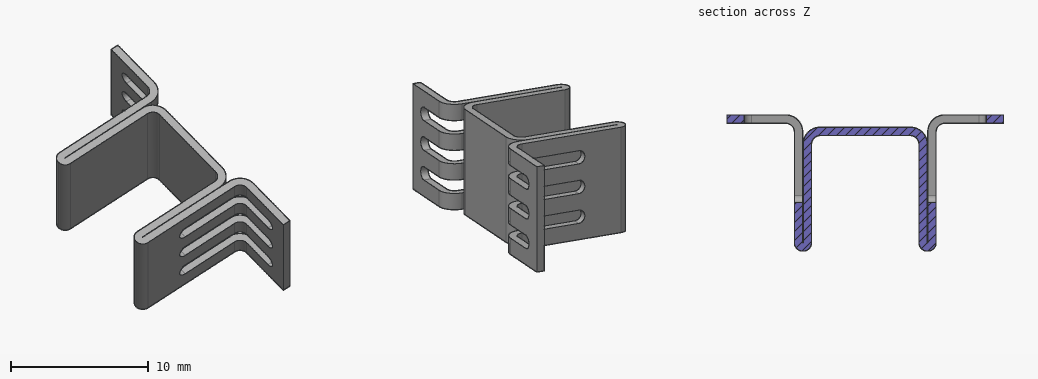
import cadquery as cq

overall_width = 20.07
overall_depth = 9.9
height = 8.13
sheet = 0.62
bend_inner = 0.62
fold_gap = 0.02
leg_spacing = 9.04
web_setback = 0.89
slot_count = 3
slot_width = 1.02
slot_pitch = 2.29
slot_edge_margin = 1.27
slot_reach = 6.35

flange_end = overall_width / 2
leg_center = leg_spacing / 2
web_leaf_face = leg_center - fold_gap / 2
flange_leaf_face = leg_center + fold_gap / 2
leg_inside = web_leaf_face - sheet
leg_outside = flange_leaf_face + sheet

flange_back = overall_depth / 2
flange_front = flange_back - sheet
web_back = flange_back - web_setback
web_front = web_back - sheet
fold_tip = -overall_depth / 2
fold_bottom = fold_tip + sheet
bend_outer = bend_inner + sheet


def half_profile():
    """Right half of the bent strip: half the web, a folded leg and a flange."""
    return (
        cq.Workplane("XY")
        .moveTo(0, web_back)
        .lineTo(web_leaf_face - bend_outer, web_back)
        .tangentArcPoint((web_leaf_face, web_back - bend_outer), relative=False)
        .lineTo(web_leaf_face, fold_bottom)
        .lineTo(flange_leaf_face, fold_bottom)
        .lineTo(flange_leaf_face, flange_back - bend_outer)
        .tangentArcPoint((flange_leaf_face + bend_outer, flange_back), relative=False)
        .lineTo(flange_end, flange_back)
        .lineTo(flange_end, flange_front)
        .lineTo(leg_outside + bend_inner, flange_front)
        .tangentArcPoint((leg_outside, flange_front - bend_inner), relative=False)
        .lineTo(leg_outside, fold_bottom)
        .tangentArcPoint((flange_leaf_face, fold_tip), relative=False)
        .lineTo(web_leaf_face, fold_tip)
        .tangentArcPoint((leg_inside, fold_bottom), relative=False)
        .lineTo(leg_inside, web_front - bend_inner)
        .tangentArcPoint((leg_inside - bend_inner, web_front), relative=False)
        .lineTo(0, web_front)
        .close()
    )


def slot_outline(plane, square_end, round_end, z):
    """Slot along the plane's first axis with one square and one rounded end."""
    radius = slot_width / 2
    direction = 1 if round_end > square_end else -1
    arc_start = round_end - direction * radius
    return (
        cq.Workplane(plane)
        .moveTo(square_end, z - radius)
        .lineTo(arc_start, z - radius)
        .threePointArc((round_end, z), (arc_start, z + radius))
        .lineTo(square_end, z + radius)
        .close()
    )


def bend_slot(z):
    """Cutter for one slot running from the flange, round the bend, into the outer leaf."""
    flange_back_plane = cq.Plane((0, flange_back, 0), xDir=(1, 0, 0), normal=(0, -1, 0))
    leaf_gap_plane = cq.Plane((flange_leaf_face, 0, 0), xDir=(0, 1, 0), normal=(1, 0, 0))
    flange_part = slot_outline(
        flange_back_plane, flange_leaf_face, flange_end - slot_edge_margin, z
    ).extrude(bend_outer)
    leaf_part = slot_outline(
        leaf_gap_plane, flange_back, flange_back - slot_reach, z
    ).extrude(sheet)
    return flange_part.union(leaf_part)


right_half = half_profile().extrude(height / 2, both=True)
for index in range(slot_count):
    slot_z = (index - (slot_count - 1) / 2) * slot_pitch
    right_half = right_half.cut(bend_slot(slot_z))

result = right_half.union(right_half.mirror("YZ")).clean()